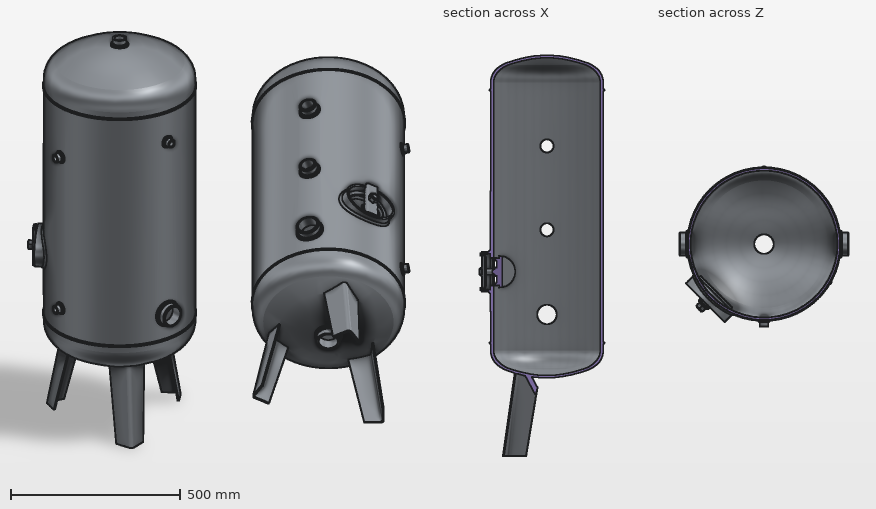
import cadquery as cq
import math

TOTAL_HEIGHT = 1239.0

SHELL_DIAMETER = 450.0
BORE_DIAMETER = 434.0
SEAM_DIAMETER = 455.0
SEAM_WIDTH = 7.0
LOWER_KNUCKLE_Z = 312.0
UPPER_KNUCKLE_Z = 1104.0
SEAM_OFFSET = 22.0
CROWN_RATIO = 0.8
KNUCKLE_RATIO = 0.154

SMALL_PIPE = (26.0, 16.0, 0)
VENT_PIPE = (41.0, 30.0, 0)
MEDIUM_PIPE = (51.0, 38.0, 2.0)
LARGE_PIPE = (69.0, 57.0, 2.0)
DRAIN_PIPE = (69.0, 57.0, 0)
WELD_LEG = 6.0
WELD_THROAT = 4.0
SIDE_REACH = 250.0
SMALL_REACH = 244.0
DRAIN_END_Z = 173.0
LOW_Z = 419.0
MIDDLE_Z = 669.0
HIGH_Z = 917.0
RELIEF_Z = 984.0

SIDE_PIPES = (
    (180, HIGH_Z, SIDE_REACH, MEDIUM_PIPE),
    (180, MIDDLE_Z, SIDE_REACH, MEDIUM_PIPE),
    (180, LOW_Z, SIDE_REACH, LARGE_PIPE),
    (0, LOW_Z, SIDE_REACH, LARGE_PIPE),
    (0, RELIEF_Z, SMALL_REACH, SMALL_PIPE),
    (270, HIGH_Z, SMALL_REACH, SMALL_PIPE),
    (270, LOW_Z, SMALL_REACH, SMALL_PIPE),
)

HANDHOLE_ANGLE = 225.0
HANDHOLE_Z = 545.0
COLLAR_WIDTH = 162.0
COLLAR_HEIGHT = 119.0
COLLAR_WALL = 6.0
COLLAR_REACH = 245.0
COLLAR_DEPTH = 28.0
OPENING_WIDTH = 120.0
OPENING_HEIGHT = 82.0
COVER_LAP = 6.0
COVER_LIP = 7.0
COVER_FACE_REACH = 217.0
DISH_DEPTH = 5.0
DISH_EDGE = 1.0
DISH_TAPER = 9.0
STUD_DIAMETER = 19.0
STUD_REACH = 273.0
BOSS_DIAMETER = 26.0
BOSS_HEIGHT = 4.0
NUT_SIZE = 26.0
NUT_HEIGHT = 14.0
BAR_WIDTH = 38.0
BAR_LENGTH = 119.0
BAR_FOOT_LENGTH = 84.0
BAR_RISE = 11.0
BAR_SINK = 5.0
BAR_WALL = 5.0
BAR_BEND = 6.0

LEG_ANGLES = (90.0, 210.0, 330.0)
LEG_FOOT_REACH = 234.0
LEG_TOP_REACH = 186.0
LEG_TOP_Z = 248.0
LEG_FOOT_SPREAD = 41.0
LEG_TOP_SPREAD = 53.0
LEG_WALL = 5.0
LEG_BEND = 11.0

SHELL_RADIUS = SHELL_DIAMETER / 2
SHELL_WALL = (SHELL_DIAMETER - BORE_DIAMETER) / 2
CROWN_RADIUS = CROWN_RATIO * SHELL_DIAMETER
KNUCKLE_RADIUS = KNUCKLE_RATIO * SHELL_DIAMETER
COLLAR_ROOT = SHELL_RADIUS - COLLAR_DEPTH


def dish_points(inset):
    """Radius and height of the crown and knuckle points, measured from the knuckle plane."""
    crown = CROWN_RADIUS - inset
    knuckle = KNUCKLE_RADIUS - inset
    knuckle_centre = SHELL_RADIUS - KNUCKLE_RADIUS
    join = math.acos(knuckle_centre / (CROWN_RADIUS - KNUCKLE_RADIUS))
    crown_centre = -(CROWN_RADIUS - KNUCKLE_RADIUS) * math.sin(join)
    knuckle_mid = (knuckle_centre + knuckle * math.cos(join / 2), knuckle * math.sin(join / 2))
    knuckle_end = (knuckle_centre + knuckle * math.cos(join), knuckle * math.sin(join))
    crown_angle = (join + math.pi / 2) / 2
    crown_mid = (crown * math.cos(crown_angle), crown_centre + crown * math.sin(crown_angle))
    apex = (0.0, crown_centre + crown)
    return knuckle_mid, knuckle_end, crown_mid, apex


def dished_capsule(inset):
    """Solid of revolution bounded by the shell surface moved inwards by inset."""
    radius = SHELL_RADIUS - inset
    knuckle_mid, knuckle_end, crown_mid, apex = dish_points(inset)

    def upper(point):
        return (point[0], UPPER_KNUCKLE_Z + point[1])

    def lower(point):
        return (point[0], LOWER_KNUCKLE_Z - point[1])

    return (
        cq.Workplane("XZ")
        .moveTo(*lower(apex))
        .threePointArc(lower(crown_mid), lower(knuckle_end))
        .threePointArc(lower(knuckle_mid), (radius, LOWER_KNUCKLE_Z))
        .lineTo(radius, UPPER_KNUCKLE_Z)
        .threePointArc(upper(knuckle_mid), upper(knuckle_end))
        .threePointArc(upper(crown_mid), upper(apex))
        .close()
        .revolve(360, (0, 0, 0), (0, 1, 0))
    )


def seam_weld(height):
    """Peaked weld bead around the shell."""
    root = SHELL_RADIUS - SHELL_WALL / 2
    return (
        cq.Workplane("XZ")
        .moveTo(root, height - SEAM_WIDTH / 2)
        .lineTo(SHELL_RADIUS, height - SEAM_WIDTH / 2)
        .lineTo(SEAM_DIAMETER / 2, height)
        .lineTo(SHELL_RADIUS, height + SEAM_WIDTH / 2)
        .lineTo(root, height + SEAM_WIDTH / 2)
        .close()
        .revolve(360, (0, 0, 0), (0, 1, 0))
    )


def radial_plane(angle, height, reach):
    """Plane facing outwards, reach from the vessel axis; its local Y is up."""
    turn = math.radians(angle)
    outwards = (math.cos(turn), math.sin(turn), 0)
    tangent = (-math.sin(turn), math.cos(turn), 0)
    origin = (reach * outwards[0], reach * outwards[1], height)
    return cq.Plane(origin=origin, xDir=tangent, normal=outwards)


def pipe_places():
    """Mouth plane, pipe size and stand-out from the vessel surface of every pipe."""
    places = [
        (radial_plane(angle, height, reach), size, reach - SHELL_RADIUS)
        for angle, height, reach, size in SIDE_PIPES
    ]
    dish_height = dish_points(0)[3][1]
    vent_plane = cq.Plane(origin=(0, 0, TOTAL_HEIGHT), xDir=(1, 0, 0), normal=(0, 0, 1))
    drain_plane = cq.Plane(origin=(0, 0, DRAIN_END_Z), xDir=(1, 0, 0), normal=(0, 0, -1))
    places.append((vent_plane, VENT_PIPE, TOTAL_HEIGHT - UPPER_KNUCKLE_Z - dish_height))
    places.append((drain_plane, DRAIN_PIPE, LOWER_KNUCKLE_Z - dish_height - DRAIN_END_Z))
    return places


def welded_pipe(plane, size, stand_out):
    """Unbored pipe ending on the plane, with a bulging fillet weld where it meets the vessel."""
    outer, _, chamfer = size
    radius = outer / 2
    root = -stand_out - SHELL_WALL
    pipe = (
        cq.Workplane("XZ")
        .moveTo(0, root)
        .lineTo(radius + WELD_LEG, root)
        .lineTo(radius + WELD_LEG, -stand_out)
        .lineTo(radius + WELD_THROAT, WELD_THROAT - stand_out)
        .lineTo(radius, WELD_LEG - stand_out)
        .lineTo(radius, 0)
        .lineTo(0, 0)
        .close()
        .revolve(360, (0, 0, 0), (0, 1, 0))
    )
    if chamfer:
        pipe = pipe.faces(">Z").edges().chamfer(chamfer)
    return cq.Workplane(pipe.val().moved(plane.location))


def pipe_bore(plane, size, stand_out):
    """Bore from the mouth through the vessel wall."""
    depth = stand_out + 3 * SHELL_WALL
    return cq.Workplane(plane).circle(size[1] / 2).extrude(-depth)


def handhole_plane(reach):
    return radial_plane(HANDHOLE_ANGLE, HANDHOLE_Z, reach)


def handhole_ellipse(width, height, start, end):
    """Elliptical prism along the handhole axis, from start to end."""
    return (
        cq.Workplane(handhole_plane(start))
        .ellipse(width / 2, height / 2)
        .extrude(end - start)
    )


def leg_section(reach, spread, height):
    """Closed angle outline with its bend outwards on +X, both flanges at 45 degrees."""
    slope = math.sqrt(0.5)
    outer_set_back = LEG_BEND * slope
    inner_bend = LEG_BEND - LEG_WALL
    inner_set_back = inner_bend * slope
    bend_centre = reach - LEG_BEND * math.sqrt(2)
    tip = reach - spread
    edge = LEG_WALL * slope
    return (
        cq.Workplane("XY", origin=(0, 0, height))
        .moveTo(tip, spread)
        .lineTo(bend_centre + outer_set_back, outer_set_back)
        .threePointArc((bend_centre + LEG_BEND, 0), (bend_centre + outer_set_back, -outer_set_back))
        .lineTo(tip, -spread)
        .lineTo(tip - edge, edge - spread)
        .lineTo(bend_centre + inner_set_back, -inner_set_back)
        .threePointArc((bend_centre + inner_bend, 0), (bend_centre + inner_set_back, inner_set_back))
        .lineTo(tip - edge, spread - edge)
        .close()
    )


def leg(angle):
    foot = leg_section(LEG_FOOT_REACH, LEG_FOOT_SPREAD, 0).wires().val()
    top = leg_section(LEG_TOP_REACH, LEG_TOP_SPREAD, LEG_TOP_Z).wires().val()
    solid = cq.Solid.makeLoft([foot, top], True)
    return cq.Workplane(solid).rotate((0, 0, 0), (0, 0, 1), angle)


def build_tank():
    """Welded vessel: shell, seams, legs, pipes and handhole collar."""
    envelope = dished_capsule(0)
    cavity = dished_capsule(SHELL_WALL)
    collar = handhole_ellipse(COLLAR_WIDTH, COLLAR_HEIGHT, COLLAR_ROOT, COLLAR_REACH)
    collar_bore = handhole_ellipse(
        COLLAR_WIDTH - 2 * COLLAR_WALL, COLLAR_HEIGHT - 2 * COLLAR_WALL, COLLAR_ROOT, COLLAR_REACH
    )
    opening = handhole_ellipse(OPENING_WIDTH, OPENING_HEIGHT, COLLAR_ROOT, COLLAR_REACH)

    tank = envelope.union(collar)
    tank = tank.edges("%BSPLINE").chamfer(WELD_LEG)
    for height in (LOWER_KNUCKLE_Z + SEAM_OFFSET, UPPER_KNUCKLE_Z - SEAM_OFFSET):
        tank = tank.union(seam_weld(height))
    for angle in LEG_ANGLES:
        tank = tank.union(leg(angle))
    for place in pipe_places():
        tank = tank.union(welded_pipe(*place))

    tank = tank.cut(collar_bore.cut(envelope)).cut(cavity).cut(opening)
    for place in pipe_places():
        tank = tank.cut(pipe_bore(*place))
    return tank


def build_cover():
    """Elliptical cover behind the opening, with its stud and clamping nut."""
    lip_width = OPENING_WIDTH + 2 * COVER_LAP
    lip_height = OPENING_HEIGHT + 2 * COVER_LAP
    seat = math.sqrt((BORE_DIAMETER / 2) ** 2 - (lip_width / 2) ** 2)
    floor = COVER_FACE_REACH - DISH_DEPTH
    lip = handhole_ellipse(lip_width, lip_height, seat - COVER_LIP, seat)
    plug = handhole_ellipse(OPENING_WIDTH, OPENING_HEIGHT, seat, COVER_FACE_REACH)
    hollow_width = OPENING_WIDTH - 2 * DISH_EDGE
    hollow_height = OPENING_HEIGHT - 2 * DISH_EDGE
    hollow = (
        cq.Workplane(handhole_plane(COVER_FACE_REACH))
        .ellipse(hollow_width / 2, hollow_height / 2)
        .workplane(offset=-DISH_DEPTH)
        .ellipse(hollow_width / 2 - DISH_TAPER, hollow_height / 2 - DISH_TAPER)
        .loft()
    )
    boss = cq.Workplane(handhole_plane(floor)).circle(BOSS_DIAMETER / 2).extrude(BOSS_HEIGHT)
    stud = cq.Workplane(handhole_plane(floor)).circle(STUD_DIAMETER / 2).extrude(STUD_REACH - floor)
    nut = (
        cq.Workplane(handhole_plane(COLLAR_REACH + BAR_RISE))
        .polygon(6, NUT_SIZE, circumscribed=True)
        .extrude(NUT_HEIGHT)
    )
    return lip.union(plug).cut(hollow).union(boss).union(stud).union(nut)


def build_bar():
    """Channel across the collar, its bevelled flanges resting on the rim, with a hole for the stud."""
    depth = BAR_RISE + BAR_SINK
    base = handhole_plane(COLLAR_REACH - BAR_SINK)
    section = (
        cq.Workplane(base)
        .rect(BAR_WIDTH, BAR_LENGTH)
        .extrude(depth)
        .faces(cq.selectors.DirectionMinMaxSelector(base.zDir, True))
        .edges("|Z")
        .fillet(BAR_BEND)
    )
    groove = (
        cq.Workplane(base)
        .rect(BAR_WIDTH - 2 * BAR_WALL, BAR_LENGTH)
        .extrude(depth - BAR_WALL)
    )
    side_plane = cq.Plane(origin=base.origin, xDir=base.zDir, normal=-base.xDir)
    side_outline = (
        cq.Workplane(side_plane)
        .moveTo(0, -BAR_FOOT_LENGTH / 2)
        .lineTo(depth - BAR_BEND, -BAR_LENGTH / 2)
        .lineTo(depth, -BAR_LENGTH / 2)
        .lineTo(depth, BAR_LENGTH / 2)
        .lineTo(depth - BAR_BEND, BAR_LENGTH / 2)
        .lineTo(0, BAR_FOOT_LENGTH / 2)
        .close()
        .extrude(BAR_WIDTH, both=True)
    )
    hole = cq.Workplane(base).circle(STUD_DIAMETER / 2).extrude(depth)
    return section.cut(groove).intersect(side_outline).cut(hole)


tank = build_tank()
cover = build_cover()
bar = build_bar()
result = cq.Compound.makeCompound([tank.val(), cover.val(), bar.val()])